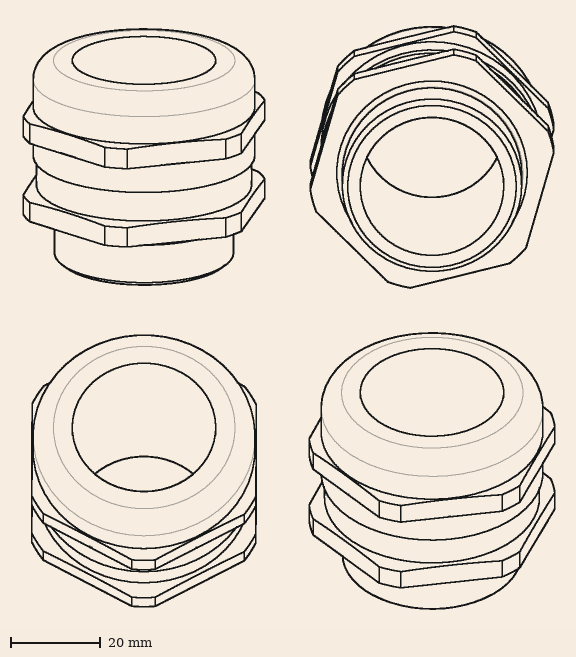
import cadquery as cq
import math

TOTAL_HEIGHT = 46.5
BORE_DIAMETER = 32.0

SPIGOT_DIAMETER = 40.0
SPIGOT_CHAMFER_HEIGHT = 1.0
SPIGOT_CHAMFER_WIDTH = 1.2

RING_DIAMETER = 42.5
RING_BOTTOM = 10.0
RING_THICKNESS = 2.0

BODY_DIAMETER = 48.0
NUT_DIAMETER = 49.5
NUT_BOTTOM = 24.0
DOME_RADIUS = 4.5

HEX_ACROSS_FLATS = 50.0
HEX_CORNER_DIAMETER = 55.0
HEX_HEIGHT = 5.0
HEX_TOP_SLOPE_ANGLE = 7.5
LOWER_HEX_BOTTOM = RING_BOTTOM + RING_THICKNESS
UPPER_HEX_BOTTOM = 30.5


def cylinder(diameter, bottom, top):
    """Solid cylinder on the Z axis between two heights."""
    return cq.Workplane("XY").workplane(offset=bottom).circle(diameter / 2).extrude(top - bottom)


def spigot():
    """Spigot with a chamfered lower edge."""
    return cylinder(SPIGOT_DIAMETER, 0, LOWER_HEX_BOTTOM).faces("<Z").edges().chamfer(
        SPIGOT_CHAMFER_HEIGHT, SPIGOT_CHAMFER_WIDTH
    )


def sealing_ring():
    """Disc whose rim is a half-round."""
    rim_radius = RING_THICKNESS / 2
    rim_start = RING_DIAMETER / 2 - rim_radius
    top = RING_BOTTOM + RING_THICKNESS
    profile = (
        cq.Workplane("XZ")
        .moveTo(0, RING_BOTTOM)
        .lineTo(rim_start, RING_BOTTOM)
        .threePointArc((RING_DIAMETER / 2, RING_BOTTOM + rim_radius), (rim_start, top))
        .lineTo(0, top)
        .close()
    )
    return profile.revolve(360, (0, 0, 0), (0, 1, 0))


def dome_nut():
    """Round nut with a rounded upper edge."""
    return cylinder(NUT_DIAMETER, NUT_BOTTOM, TOTAL_HEIGHT).faces(">Z").edges().fillet(DOME_RADIUS)


def wrench_hexagon(bottom, collar_diameter):
    """Hexagon with corners turned round and a top that slopes down outside the collar."""
    hexagon = (
        cq.Workplane("XY")
        .workplane(offset=bottom)
        .polygon(6, HEX_ACROSS_FLATS / math.cos(math.pi / 6))
        .extrude(HEX_HEIGHT)
    )
    corner_radius = HEX_CORNER_DIAMETER / 2
    top = bottom + HEX_HEIGHT
    slope_width = corner_radius - collar_diameter / 2
    top_drop = slope_width * math.tan(math.radians(HEX_TOP_SLOPE_ANGLE))
    turned_blank = (
        cq.Workplane("XZ")
        .moveTo(0, bottom)
        .lineTo(corner_radius, bottom)
        .lineTo(corner_radius, top - top_drop)
        .lineTo(collar_diameter / 2, top)
        .lineTo(0, top)
        .close()
        .revolve(360, (0, 0, 0), (0, 1, 0))
    )
    return hexagon.intersect(turned_blank)


body = cylinder(BODY_DIAMETER, LOWER_HEX_BOTTOM, NUT_BOTTOM)
bore = cylinder(BORE_DIAMETER, 0, TOTAL_HEIGHT)

result = (
    spigot()
    .union(sealing_ring())
    .union(body)
    .union(wrench_hexagon(LOWER_HEX_BOTTOM, BODY_DIAMETER))
    .union(dome_nut())
    .union(wrench_hexagon(UPPER_HEX_BOTTOM, NUT_DIAMETER))
    .cut(bore)
)